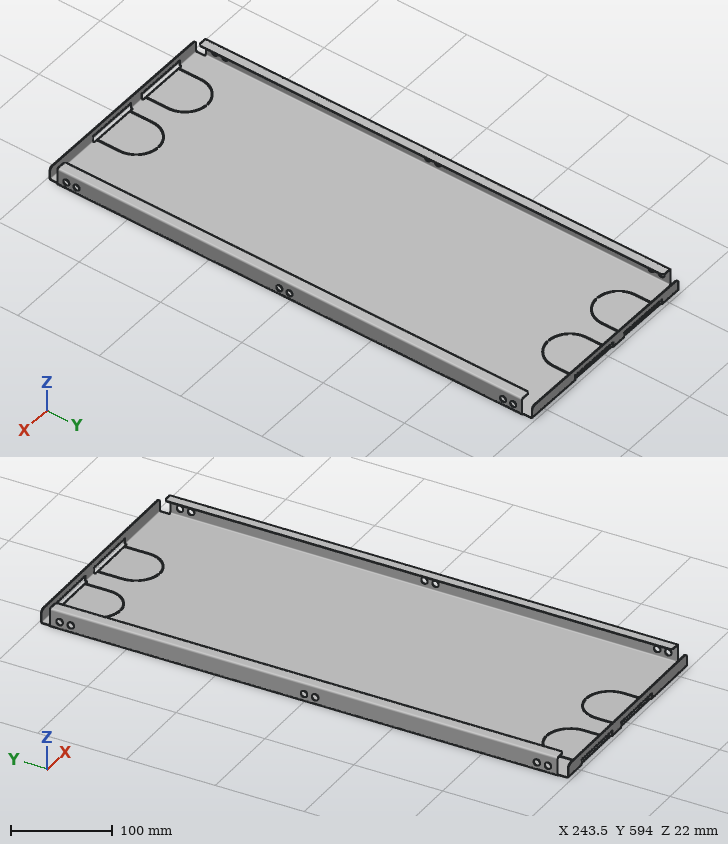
import cadquery as cq

width = 243.5
length = 594.0
height = 22.0
sheet = 1.0
bend_radius = 2.5

channel_length = 571.5
lip_width = 12.5
lip_corner = 2.5

end_width = width - 2 * bend_radius
end_height = 15.5
end_corner = 5.0

knockout_centres = (-62.0, 18.0)
knockout_radius = 27.5
knockout_reach = 57.5
slit = 1.0
bridge = 3.0
window_width = 62.5
window_top = 7.0

hole_diameter = 7.0
hole_height = 9.0
hole_pitch = 12.5
hole_pair_ys = (-268.5, -6.5, 268.5)

cut_margin = 6.0


def make_channels():
    """Floor with both long edges folded up and in, as one C-shaped profile."""
    outer = cq.Workplane("XY").box(width, channel_length, height, centered=(True, True, False))
    outer = outer.edges("|Y").fillet(bend_radius)
    inner = (
        cq.Workplane("XY")
        .workplane(offset=sheet)
        .box(width - 2 * sheet, channel_length, height - 2 * sheet, centered=(True, True, False))
        .edges("|Y")
        .fillet(bend_radius - sheet)
    )
    opening = (
        cq.Workplane("XY")
        .workplane(offset=height / 2)
        .box(width - 2 * lip_width, channel_length, height, centered=(True, True, False))
    )
    for x in (-1, 1):
        for y in (-1, 1):
            tip_x = x * (width / 2 - lip_width)
            tip_y = y * channel_length / 2
            corner = (
                cq.Workplane("XY")
                .workplane(offset=height / 2)
                .moveTo(tip_x, tip_y)
                .lineTo(tip_x + x * lip_corner, tip_y)
                .lineTo(tip_x, tip_y - y * lip_corner)
                .close()
                .extrude(height)
            )
            opening = opening.union(corner)
    return outer.cut(inner).cut(opening)


def make_end_tray():
    """Full-length floor with an upright flange folded up at each end."""
    outer = cq.Workplane("XY").box(end_width, length, end_height, centered=(True, True, False))
    outer = outer.edges("|X and <Z").fillet(bend_radius)
    inner = (
        cq.Workplane("XY")
        .workplane(offset=sheet)
        .box(end_width, length - 2 * sheet, end_height, centered=(True, True, False))
        .edges("|X and <Z")
        .fillet(bend_radius - sheet)
    )
    return outer.cut(inner).edges("|Y and >Z").fillet(end_corner)


def knockout_shape(centre, radius, overlap):
    """U-shaped floor outline at the -Y end, open towards the flange."""
    start = -length / 2 - overlap
    arc_y = -length / 2 + knockout_reach - knockout_radius
    return (
        cq.Workplane("XY")
        .moveTo(centre - radius, start)
        .lineTo(centre - radius, arc_y)
        .threePointArc((centre, arc_y + radius), (centre + radius, arc_y))
        .lineTo(centre + radius, start)
        .close()
        .extrude(sheet)
    )


def cut_knockout(body, centre):
    """Cut the slit and window of one knockout at both ends of the tray."""
    ring = knockout_shape(centre, knockout_radius, 0).cut(
        knockout_shape(centre, knockout_radius - slit, cut_margin)
    )
    tip_y = -length / 2 + knockout_reach
    uncut_tip = cq.Workplane("XY").center(centre, tip_y).rect(bridge, 2 * cut_margin).extrude(sheet)
    ring = ring.cut(uncut_tip)
    window = (
        cq.Workplane("XY")
        .center(centre, -length / 2)
        .rect(window_width, 2 * bend_radius)
        .extrude(window_top)
    )
    for cutter in (ring, window):
        body = body.cut(cutter).cut(cutter.mirror("XZ"))
    return body


result = make_channels().union(make_end_tray())

for knockout_centre in knockout_centres:
    result = cut_knockout(result, knockout_centre)

holes = (
    cq.Workplane("YZ")
    .pushPoints([(y + side * hole_pitch / 2, hole_height) for y in hole_pair_ys for side in (-1, 1)])
    .circle(hole_diameter / 2)
    .extrude(width, both=True)
)
result = result.cut(holes)